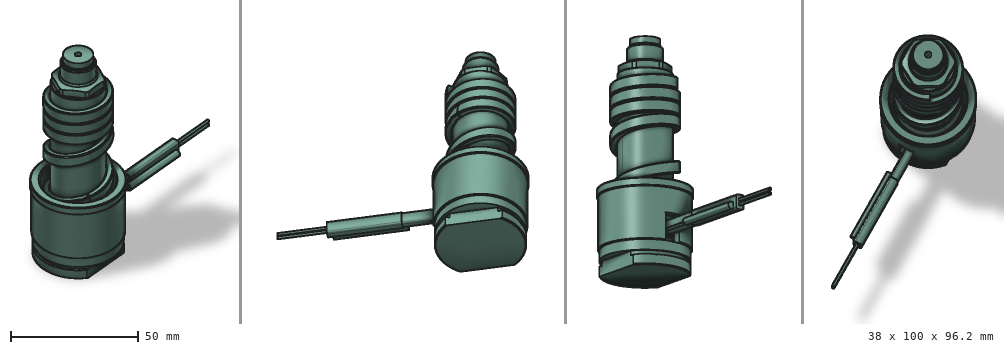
import cadquery as cq
import math

TOTAL_HEIGHT = 96.2

BASE_RADIUS = 18.05
BASE_FLAT_DISTANCE = 14.0
BASE_GROOVE_RADIUS = 17.0
BASE_GROOVE_BOTTOM = 4.2
BASE_FLAT_TOP = 6.0
BASE_CHAMFER = 0.4

HOUSING_RADIUS = 18.55
HOUSING_BOTTOM = 10.2
HOUSING_TOP = 35.3
HOUSING_BOTTOM_CHAMFER = 0.4
FLANGE_RADIUS = 19.0
FLANGE_HEIGHT = 3.5
FLANGE_CHAMFER = 0.4
BORE_RADIUS = 15.0
BORE_CHAMFER = 0.6
FLOOR_EDGE_CHAMFER = 0.5
FLOOR_LEVEL = 11.0

NOTCH_WIDTH = 6.6
NOTCH_TOP = 21.6

TUBE_RADIUS = 11.0
TUBE_TOP = 82.3
TUBE_CHAMFER = 0.4
STEM_RADIUS = 7.1
STEM_FLARE_RADIUS = 7.7
STEM_FLARE_TOP = 86.7
STEM_TOP = 92.8
STEM_CHAMFER = 0.5
NECK_RADIUS = 6.2
NECK_TOP = 93.5
TIP_RADIUS = 6.0
CENTER_HOLE_RADIUS = 1.3
CENTER_HOLE_DEPTH = 2.25

NUT_ACROSS_FLATS = 19.0
NUT_CORNER_RADIUS = 10.5
NUT_SIDE_TOP = 85.15
NUT_CONE_TOP = 85.9

SPRING_INNER_RADIUS = TUBE_RADIUS - 0.05
SPRING_OUTER_RADIUS = 13.8
SPRING_WIRE_HEIGHT = 4.95
SPRING_WIRE_CHAMFER = 0.45
OPEN_PITCH = 21.6
CLOSED_PITCH = 5.13
OPEN_START_ANGLE = -30.0
OPEN_START_LEVEL = 34.0
OPEN_SWEEP = 360.0
TRANSITION_SWEEP = 180.0
CLOSED_SWEEP = 1052.0
TRANSITION_POINTS = 13

CABLE_X = -1.45
CABLE_LEVEL = 17.1
CABLE_THICKNESS = 3.05
CABLE_HEIGHT = 5.5
CABLE_ROUND = 0.65
CABLE_INNER_END = 13.6
GRIP_THICKNESS = 3.6
GRIP_HEIGHT = 6.0
GRIP_ROUND = 0.85
GRIP_START = 31.0
GRIP_LENGTH = 30.0
WIRE_RADIUS = 0.6
WIRE_SPACING = 1.8
WIRE_END = 81.0

LEAD_X = 0.2
LEAD_RADIUS = 0.6
FERRULE_X = 1.2
FERRULE_RADIUS = 1.5
FERRULE_START = 29.0
FERRULE_LENGTH = 30.0
LEAD_LEVEL = 15.8


def cylinder(radius, bottom, top):
    return cq.Workplane("XY").workplane(offset=bottom).circle(radius).extrude(top - bottom)


def rod(radius, x, level, start, end):
    """Round bar running along +Y."""
    plane = cq.Plane(origin=(x, start, level), xDir=(-1, 0, 0), normal=(0, 1, 0))
    return cq.Workplane(plane).circle(radius).extrude(end - start)


def rounded_bar(thickness, height, rounding, start, end):
    """Flat bar running along +Y on the cable axis, with rounded long edges."""
    plane = cq.Plane(origin=(CABLE_X, start, CABLE_LEVEL), xDir=(-1, 0, 0), normal=(0, 1, 0))
    bar = cq.Workplane(plane).rect(thickness, height).extrude(end - start)
    return bar.edges("|Y").fillet(rounding)


def cut_base_flats(plug):
    """Flatten both X sides of the base plug."""
    side = cq.Workplane("XY").box(
        BASE_RADIUS, 3 * BASE_RADIUS, BASE_FLAT_TOP, centered=(False, True, False)
    )
    plug = plug.cut(side.translate((BASE_FLAT_DISTANCE, 0, 0)))
    return plug.cut(side.translate((-BASE_FLAT_DISTANCE - BASE_RADIUS, 0, 0)))


def make_base():
    """Round plug, undercut and flattened below, whose chamfered top is the housing floor."""
    plug = cylinder(BASE_RADIUS, 0, BASE_GROOVE_BOTTOM).faces("<Z").chamfer(BASE_CHAMFER)
    plug = plug.union(cylinder(BASE_GROOVE_RADIUS, BASE_GROOVE_BOTTOM, BASE_FLAT_TOP))
    plug = cut_base_flats(plug)
    plug = plug.union(cylinder(BASE_RADIUS, BASE_FLAT_TOP, HOUSING_BOTTOM))
    floor = cylinder(BORE_RADIUS, HOUSING_BOTTOM, FLOOR_LEVEL)
    return plug.union(floor.faces(">Z").chamfer(FLOOR_EDGE_CHAMFER))


def make_housing():
    """Flanged sleeve with a chamfered bore and a cable notch through its +Y wall."""
    flange_bottom = HOUSING_TOP - FLANGE_HEIGHT
    sleeve = cylinder(HOUSING_RADIUS, HOUSING_BOTTOM, flange_bottom)
    sleeve = sleeve.faces("<Z").chamfer(HOUSING_BOTTOM_CHAMFER)
    flange = cylinder(FLANGE_RADIUS, flange_bottom, HOUSING_TOP)
    flange = flange.faces("<Z or >Z").chamfer(FLANGE_CHAMFER)
    housing = sleeve.union(flange).cut(cylinder(BORE_RADIUS, HOUSING_BOTTOM, HOUSING_TOP))
    bore_edge = housing.faces(">Z").edges("%CIRCLE").edges(cq.selectors.RadiusNthSelector(0))
    housing = bore_edge.chamfer(BORE_CHAMFER)
    notch_height = NOTCH_TOP - HOUSING_BOTTOM
    notch = cq.Workplane("XY").box(
        NOTCH_WIDTH, FLANGE_RADIUS, notch_height, centered=(True, False, False)
    )
    return housing.cut(notch.translate((0, 0, HOUSING_BOTTOM)))


def make_tube():
    return cylinder(TUBE_RADIUS, HOUSING_BOTTOM, TUBE_TOP).faces(">Z").chamfer(TUBE_CHAMFER)


def make_nut():
    """Hexagon with flats facing +X and -X, its corners turned and its top coned."""
    corner_diameter = NUT_ACROSS_FLATS / math.cos(math.radians(30))
    hexagon = cq.Workplane("XY").workplane(offset=TUBE_TOP).polygon(6, corner_diameter)
    hexagon = hexagon.extrude(NUT_CONE_TOP - TUBE_TOP).rotate((0, 0, 0), (0, 0, 1), 30)
    envelope = (
        cq.Workplane("XZ")
        .moveTo(0, TUBE_TOP)
        .lineTo(NUT_CORNER_RADIUS, TUBE_TOP)
        .lineTo(NUT_CORNER_RADIUS, NUT_SIDE_TOP)
        .lineTo(STEM_FLARE_RADIUS, NUT_CONE_TOP)
        .lineTo(0, NUT_CONE_TOP)
        .close()
        .revolve(360)
    )
    return hexagon.intersect(envelope)


def make_stem():
    """Stepped round stem with a flared foot and a conical centre hole in its tip."""
    return (
        cq.Workplane("XZ")
        .moveTo(0, TUBE_TOP)
        .lineTo(STEM_FLARE_RADIUS, TUBE_TOP)
        .lineTo(STEM_FLARE_RADIUS, NUT_CONE_TOP)
        .lineTo(STEM_RADIUS, STEM_FLARE_TOP)
        .lineTo(STEM_RADIUS, STEM_TOP - STEM_CHAMFER)
        .lineTo(STEM_RADIUS - STEM_CHAMFER, STEM_TOP)
        .lineTo(NECK_RADIUS, STEM_TOP)
        .lineTo(NECK_RADIUS, NECK_TOP)
        .lineTo(TIP_RADIUS, NECK_TOP)
        .lineTo(TIP_RADIUS, TOTAL_HEIGHT)
        .lineTo(CENTER_HOLE_RADIUS, TOTAL_HEIGHT)
        .lineTo(0, TOTAL_HEIGHT - CENTER_HOLE_DEPTH)
        .close()
        .revolve(360)
    )


def spring_rise(angle):
    """Rise of the wire centre, in mm, at an angle in degrees from the middle of the open turn."""
    half_open = OPEN_SWEEP / 2
    past_open = abs(angle) - half_open
    if past_open <= 0:
        pitch_degrees = OPEN_PITCH * abs(angle)
    else:
        blend = min(past_open, TRANSITION_SWEEP)
        blend_loss = (OPEN_PITCH - CLOSED_PITCH) * blend**2 / (2 * TRANSITION_SWEEP)
        pitch_degrees = OPEN_PITCH * (half_open + blend) - blend_loss
        pitch_degrees += CLOSED_PITCH * (past_open - blend)
    return math.copysign(pitch_degrees / 360, angle)


SPRING_MEAN_RADIUS = (SPRING_INNER_RADIUS + SPRING_OUTER_RADIUS) / 2
SPRING_MIDDLE_ANGLE = OPEN_START_ANGLE + OPEN_SWEEP / 2
SPRING_MIDDLE_LEVEL = OPEN_START_LEVEL + spring_rise(OPEN_SWEEP / 2)


def spring_point(angle):
    """Wire centre at an angle from the middle of the open turn."""
    turned = math.radians(SPRING_MIDDLE_ANGLE + angle)
    return cq.Vector(
        SPRING_MEAN_RADIUS * math.cos(turned),
        SPRING_MEAN_RADIUS * math.sin(turned),
        SPRING_MIDDLE_LEVEL + spring_rise(angle),
    )


def spring_tangent(angle, pitch):
    turned = math.radians(SPRING_MIDDLE_ANGLE + angle)
    slope = pitch / (2 * math.pi * SPRING_MEAN_RADIUS)
    return cq.Vector(-math.sin(turned), math.cos(turned), slope)


def spring_section(angle):
    """Chamfered rectangular wire section, standing in the radial plane at the given angle."""
    centre = spring_point(angle)
    plane = cq.Plane(
        origin=centre.toTuple(),
        xDir=(centre.x, centre.y, 0),
        normal=spring_tangent(angle, 0).toTuple(),
    )
    wire_width = SPRING_OUTER_RADIUS - SPRING_INNER_RADIUS
    section = cq.Sketch().rect(wire_width, SPRING_WIRE_HEIGHT).vertices().chamfer(SPRING_WIRE_CHAMFER)
    return cq.Workplane(plane).placeSketch(section)


def constant_pitch_run(start, end):
    """Stretch of spring with one pitch throughout."""
    bottom = spring_point(start).z
    height = spring_point(end).z - bottom
    helix = cq.Wire.makeHelix(height * 360 / (end - start), height, SPRING_MEAN_RADIUS)
    helix = helix.rotate(cq.Vector(0, 0, 0), cq.Vector(0, 0, 1), SPRING_MIDDLE_ANGLE + start)
    helix = helix.translate(cq.Vector(0, 0, bottom))
    return spring_section(start).sweep(cq.Workplane("XY").add(helix), isFrenet=True)


def transition_run(start, end, start_pitch, end_pitch):
    """Stretch of spring whose pitch changes evenly from one value to the other."""
    step = (end - start) / (TRANSITION_POINTS - 1)
    points = [spring_point(start + i * step) for i in range(TRANSITION_POINTS)]
    tangents = [spring_tangent(start, start_pitch), spring_tangent(end, end_pitch)]
    path = cq.Wire.assembleEdges([cq.Edge.makeSpline(points, tangents=tangents)])
    axis = cq.Edge.makeLine(cq.Vector(0, 0, points[0].z), cq.Vector(0, 0, points[-1].z))
    axis_wire = cq.Workplane("XY").add(cq.Wire.assembleEdges([axis]))
    return spring_section(start).sweep(cq.Workplane("XY").add(path), auxSpine=axis_wire)


def make_spring():
    """Open middle turn, a transition on each side of it and a closely wound run at each end."""
    open_end = OPEN_SWEEP / 2
    closed_start = open_end + TRANSITION_SWEEP
    closed_end = closed_start + CLOSED_SWEEP
    spring = constant_pitch_run(-closed_end, -closed_start)
    spring = spring.union(transition_run(-closed_start, -open_end, CLOSED_PITCH, OPEN_PITCH))
    spring = spring.union(constant_pitch_run(-open_end, open_end))
    spring = spring.union(transition_run(open_end, closed_start, OPEN_PITCH, CLOSED_PITCH))
    return spring.union(constant_pitch_run(closed_start, closed_end))


def make_cable():
    """Flat cable and round lead side by side, with grip, ferrule and two wire ends."""
    grip_end = GRIP_START + GRIP_LENGTH
    ferrule_end = FERRULE_START + FERRULE_LENGTH
    cable = rounded_bar(CABLE_THICKNESS, CABLE_HEIGHT, CABLE_ROUND, CABLE_INNER_END, grip_end)
    cable = cable.union(rounded_bar(GRIP_THICKNESS, GRIP_HEIGHT, GRIP_ROUND, GRIP_START, grip_end))
    for side in (-1, 1):
        level = CABLE_LEVEL + side * WIRE_SPACING / 2
        cable = cable.union(rod(WIRE_RADIUS, CABLE_X, level, GRIP_START, WIRE_END))
    cable = cable.union(rod(LEAD_RADIUS, LEAD_X, LEAD_LEVEL, CABLE_INNER_END, ferrule_end))
    return cable.union(rod(FERRULE_RADIUS, FERRULE_X, LEAD_LEVEL, FERRULE_START, ferrule_end))


body = make_base().union(make_housing()).union(make_tube()).union(make_nut()).union(make_stem())
result = body.union(make_cable()).union(make_spring())